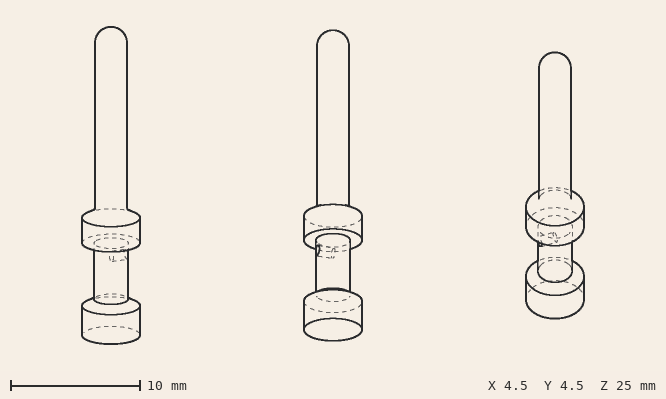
import cadquery as cq
import math

total_length = 25.0
collar_radius = 2.25
neck_radius = 1.32
pin_radius = 1.25
cone_slope = math.tan(math.radians(30.0))

base_collar_top = 2.4
upper_collar_bottom = 7.5
upper_collar_top = 9.55
root_fillet_radius = 0.4

hole_radius = 0.4
hole_height = 6.42

neck_bottom = base_collar_top + (collar_radius - neck_radius) * cone_slope
pin_bottom = upper_collar_top + (collar_radius - pin_radius) * cone_slope


def turned_body():
    """Revolve the half profile: base collar, neck, upper collar and domed pin."""
    tip_base = total_length - pin_radius
    dome_offset = pin_radius * math.sqrt(0.5)
    profile = (
        cq.Workplane("XZ")
        .lineTo(collar_radius, 0)
        .lineTo(collar_radius, base_collar_top)
        .lineTo(neck_radius, neck_bottom)
        .lineTo(neck_radius, upper_collar_bottom)
        .lineTo(collar_radius, upper_collar_bottom)
        .lineTo(collar_radius, upper_collar_top)
        .lineTo(pin_radius, pin_bottom)
        .lineTo(pin_radius, tip_base)
        .threePointArc((dome_offset, tip_base + dome_offset), (0, total_length))
        .close()
    )
    return profile.revolve(360, (0, 0, 0), (0, 1, 0))


def fillet_pin_root(body):
    """Round the inside corner between the upper cone and the pin."""
    margin = 0.02
    corner = cq.selectors.BoxSelector(
        (-collar_radius, -collar_radius, pin_bottom - margin),
        (collar_radius, collar_radius, pin_bottom + margin),
        boundingbox=True,
    )
    return body.edges(corner).fillet(root_fillet_radius)


def inspection_hole():
    """Cylinder running from the axis out through the +Y side of the neck."""
    return (
        cq.Workplane("XZ")
        .center(0, hole_height)
        .circle(hole_radius)
        .extrude(-collar_radius)
    )


result = fillet_pin_root(turned_body()).cut(inspection_hole())